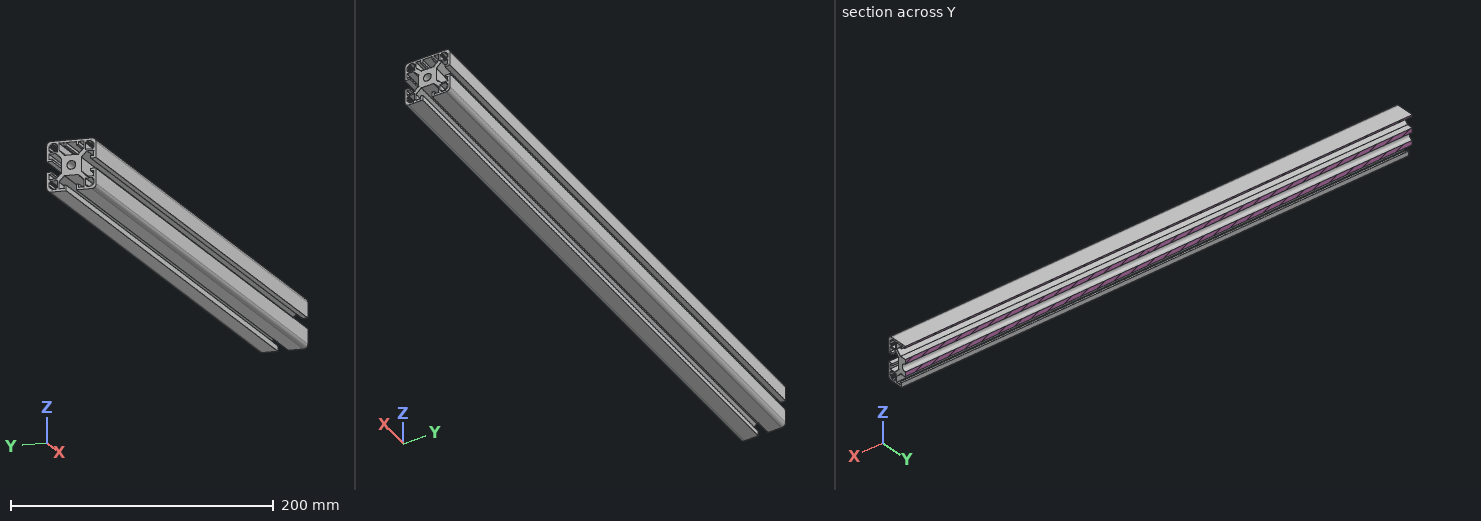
import cadquery as cq
import math

length = 500.0
width = 40.0
corner_radius = 3.5
bore_diameter = 6.8

slot_mouth = 8.2
slot_inner_width = 20.0
slot_depth = 12.0
skin_thickness = 2.0
lip_thickness = 4.5
hook_width = 1.8
web_thickness = 3.6

hollow_outer_wall = 2.9
hollow_inner_distance = 8.7
hollow_chamfer = 0.5
groove_width = 3.0
groove_skin = 1.9

half_width = width / 2
core_half_width = half_width - slot_depth
web_offset = web_thickness / math.sqrt(2)

closed_side_angle = 0
open_side_angles = (90, 180, 270)
all_angles = (closed_side_angle, *open_side_angles)


def profile_blank():
    """Solid square bar with rounded long edges."""
    blank = cq.Workplane("YZ").rect(width, width).extrude(length / 2, both=True)
    return blank.edges("|X").fillet(corner_radius)


def centre_bore():
    """Round bore along the axis of the profile."""
    return cq.Workplane("YZ").circle(bore_diameter / 2).extrude(length / 2, both=True)


def slot(cover_thickness):
    """T-slot cutter on the +Z side; a cover thickness above zero leaves the mouth closed."""
    mouth_y = slot_mouth / 2
    hook_y = mouth_y + hook_width
    wall_y = slot_inner_width / 2
    lip_z = half_width - lip_thickness
    skin_z = half_width - skin_thickness
    right_side = [
        (mouth_y, half_width - cover_thickness),
        (mouth_y, lip_z),
        (hook_y, lip_z),
        (hook_y, skin_z),
        (wall_y, skin_z),
        (wall_y, wall_y + web_offset),
        (core_half_width - web_offset, core_half_width),
    ]
    left_side = [(-y, z) for y, z in reversed(right_side)]
    outline = cq.Workplane("YZ").polyline(right_side + left_side).close()
    return outline.extrude(length / 2, both=True)


def corner_hollow():
    """Cutter for the hollow in the +Y +Z corner; its inner corner stays sharp."""
    near = half_width - hollow_inner_distance
    far = half_width - hollow_outer_wall
    size = far - near
    middle = (near + far) / 2
    groove_length = half_width - groove_skin - middle

    chamber = (
        cq.Workplane("XY")
        .box(length, size, size)
        .translate((0, middle, middle))
        .edges("|X")
        .edges(">Y or >Z")
        .chamfer(hollow_chamfer)
    )
    groove = (
        cq.Workplane("XY")
        .box(length, groove_width, groove_length, centered=(True, True, False))
    )
    groove_to_top = groove.translate((0, middle, middle))
    groove_to_side = turned(groove, -90).translate((0, middle, middle))
    return chamber.union(groove_to_top).union(groove_to_side)


def turned(body, angle):
    """Rotate a body about the X axis."""
    return body.rotate((0, 0, 0), (1, 0, 0), angle)


result = profile_blank().cut(centre_bore())
result = result.cut(turned(slot(skin_thickness), closed_side_angle))
for angle in open_side_angles:
    result = result.cut(turned(slot(0), angle))
for angle in all_angles:
    result = result.cut(turned(corner_hollow(), angle))